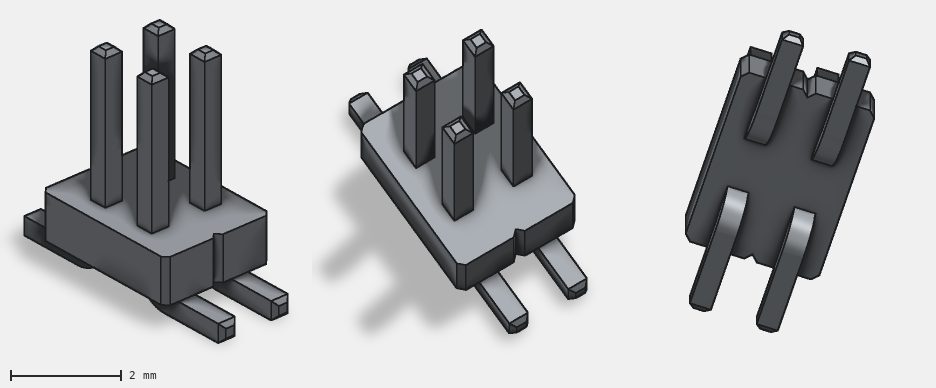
import cadquery as cq

overall_length = 5.5
overall_height = 4.68

body_length = 3.4
body_width = 2.54
body_height = 1.0
body_bottom = 0.5
corner_cut = 0.12

pitch = body_width / 2
pin_size = 0.4
inner_bend_radius = 0.35
tip_length = 0.1
tip_inset = 0.1


def make_body():
    """Block with cut corners and a V notch in the middle of each end."""
    half_length = body_length / 2
    half_width = body_width / 2
    right_side = [
        (half_length - corner_cut, -half_width),
        (half_length, -half_width + corner_cut),
        (half_length, -corner_cut),
        (half_length - corner_cut, 0),
        (half_length, corner_cut),
        (half_length, half_width - corner_cut),
        (half_length - corner_cut, half_width),
    ]
    left_side = [(-x, -y) for x, y in right_side]
    outline = cq.Workplane("XY").workplane(offset=body_bottom)
    return outline.polyline(right_side + left_side).close().extrude(body_height)


def make_tip(plane):
    """Square pyramid frustum that grows along the normal of the plane."""
    end_size = pin_size - 2 * tip_inset
    return (
        cq.Workplane(plane)
        .rect(pin_size, pin_size)
        .workplane(offset=tip_length)
        .rect(end_size, end_size)
        .loft(ruled=True)
    )


def make_pin():
    """One pin of the +X row, centred on Y = 0, with its foot pointing to +X."""
    pin_x = pitch / 2
    foot_z = pin_size / 2
    bend_radius = inner_bend_radius + pin_size / 2
    bend_x = pin_x + bend_radius
    bend_z = foot_z + bend_radius
    shank_top = overall_height - tip_length
    foot_end = overall_length / 2 - tip_length

    shank = (
        cq.Workplane("XY", origin=(pin_x, 0, bend_z))
        .rect(pin_size, pin_size)
        .extrude(shank_top - bend_z)
    )
    bend = (
        cq.Workplane("XY", origin=(pin_x, 0, bend_z))
        .rect(pin_size, pin_size)
        .revolve(90, (bend_radius, 0.055, 0), (bend_radius, 0, 0))
    )
    foot = (
        cq.Workplane("YZ", origin=(bend_x, 0, foot_z))
        .rect(pin_size, pin_size)
        .extrude(foot_end - bend_x)
    )
    shank_tip = make_tip(cq.Plane.XY(origin=(pin_x, 0, shank_top)))
    foot_tip = make_tip(cq.Plane.YZ(origin=(foot_end, 0, foot_z)))
    return shank.union(bend).union(foot).union(shank_tip).union(foot_tip)


right_pin = make_pin()
left_pin = right_pin.mirror("YZ")

result = make_body()
for pin_y in (-pitch / 2, pitch / 2):
    for pin in (right_pin, left_pin):
        result = result.union(pin.translate((0, pin_y, 0)))